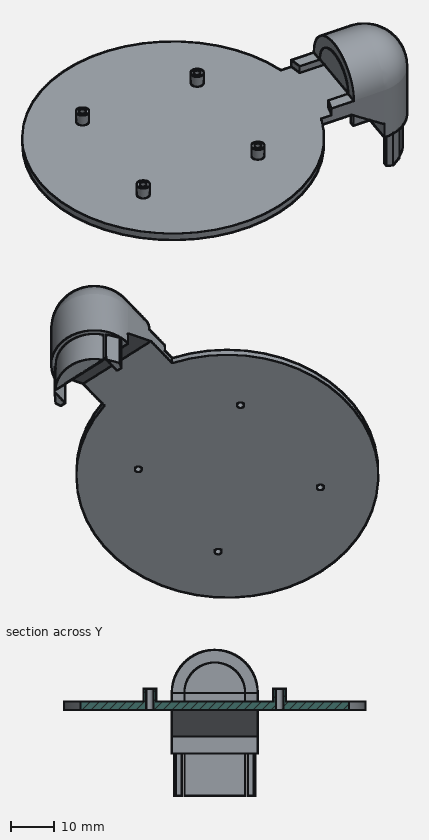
import cadquery as cq
import math

plate_radius = 34.9
plate_thickness = 2.0

standoff_diameter = 3.0
standoff_hole_diameter = 1.6
standoff_height = 2.9
standoff_spacing = 30.0
standoff_center_y = -0.8

overall_length = 94.9
elbow_radius = 10.0
elbow_y = overall_length - plate_radius - elbow_radius
axis_z = 2 * plate_thickness
elbow_bottom_z = -10.1
hood_length = 8.0
hood_front_y = elbow_y - hood_length

channel_width = 14.0
face_recess_depth = 0.1
rail_end_radius = 37.5
gusset_length = 8.5
gusset_depth = 6.1

overall_height = 33.8
tab_bottom_z = axis_z + elbow_radius - overall_height
tab_length = elbow_bottom_z - tab_bottom_z
back_tab_radius = 8.9
side_tab_inner_x = 7.6
side_tab_front_x = 8.9
side_tab_crest_x = 9.4
side_tab_front_y = elbow_y + 1.1
side_tab_crest_y = elbow_y + 2.6
side_tab_back_y = elbow_y + 5.2


def make_box(width, y_min, y_max, z_min, z_max):
    """Box centred across X between the given Y and Z limits."""
    box = cq.Workplane("XY").box(width, y_max - y_min, z_max - z_min, centered=(True, False, False))
    return box.translate((0, y_min, z_min))


def make_plate():
    return cq.Workplane("XY").circle(plate_radius).extrude(plate_thickness)


def make_neck():
    width = 2 * elbow_radius
    floor = make_box(width, 0, elbow_y, 0, plate_thickness)
    rails = make_box(width, 0, elbow_y, plate_thickness, axis_z)
    rails = rails.cut(make_box(channel_width, 0, elbow_y, plate_thickness, axis_z))
    rails = rails.cut(cq.Workplane("XY").circle(rail_end_radius).extrude(axis_z))
    gusset = (
        cq.Workplane("YZ")
        .moveTo(elbow_y - gusset_length, 0)
        .lineTo(elbow_y, 0)
        .lineTo(elbow_y, -gusset_depth)
        .close()
        .extrude(elbow_radius, both=True)
    )
    return floor.union(rails).union(gusset)


def make_elbow():
    """Half-round upright and hood, joined by a quarter sphere."""
    upright = (
        cq.Workplane("XY", origin=(0, elbow_y, elbow_bottom_z))
        .circle(elbow_radius)
        .extrude(axis_z - elbow_bottom_z)
    )
    hood = cq.Workplane("XZ", origin=(0, elbow_y, axis_z)).circle(elbow_radius).extrude(hood_length)
    dome = cq.Workplane("XY").sphere(elbow_radius).translate((0, elbow_y, axis_z))
    width = 2 * elbow_radius
    back_half = make_box(width, elbow_y, elbow_y + elbow_radius, elbow_bottom_z, axis_z + elbow_radius)
    upper_half = make_box(width, hood_front_y, elbow_y, axis_z, axis_z + elbow_radius)
    face_recess = (
        cq.Workplane("XZ", origin=(0, hood_front_y, axis_z))
        .circle(channel_width / 2)
        .extrude(-face_recess_depth)
    )
    hood = hood.intersect(upper_half).cut(face_recess)
    return upright.union(dome).intersect(back_half).union(hood)


def make_back_tab():
    """Circular segment whose flat front is as wide as the channel."""
    half_width = channel_width / 2
    chord_y = elbow_y + math.sqrt(back_tab_radius**2 - half_width**2)
    return (
        cq.Workplane("XY", origin=(0, 0, tab_bottom_z))
        .moveTo(-half_width, chord_y)
        .threePointArc((0, elbow_y + back_tab_radius), (half_width, chord_y))
        .close()
        .extrude(tab_length)
    )


def make_side_tab():
    """Tab on the +X side, tapering to the front and back of its outer crest."""
    return (
        cq.Workplane("XY", origin=(0, 0, tab_bottom_z))
        .moveTo(side_tab_inner_x, side_tab_front_y)
        .lineTo(side_tab_front_x, side_tab_front_y)
        .lineTo(side_tab_crest_x, side_tab_crest_y)
        .lineTo(side_tab_inner_x, side_tab_back_y)
        .close()
        .extrude(tab_length)
    )


def on_standoff_centers(base_z):
    return (
        cq.Workplane("XY", origin=(0, standoff_center_y, base_z))
        .rarray(standoff_spacing, standoff_spacing, 2, 2)
    )


side_tab = make_side_tab()
body = make_plate().union(make_neck()).union(make_elbow())
body = body.union(make_back_tab()).union(side_tab).union(side_tab.mirror("YZ"))

standoffs = on_standoff_centers(plate_thickness).circle(standoff_diameter / 2).extrude(standoff_height)
standoff_holes = (
    on_standoff_centers(0)
    .circle(standoff_hole_diameter / 2)
    .extrude(plate_thickness + standoff_height)
)
result = body.union(standoffs).cut(standoff_holes)